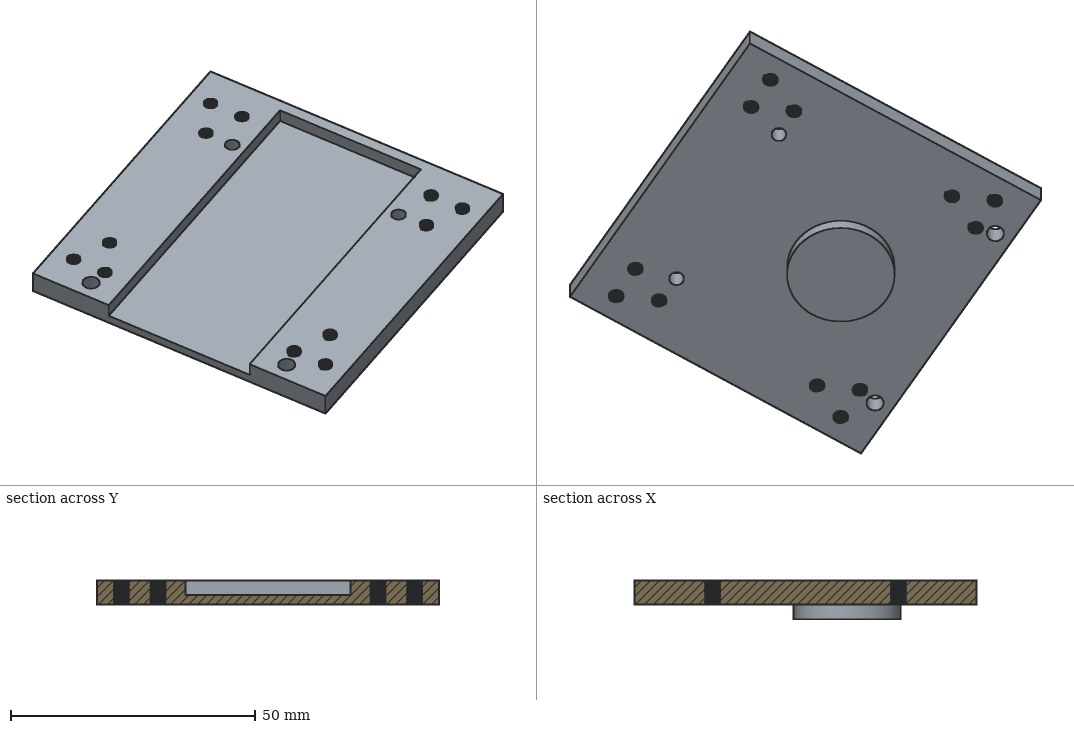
import cadquery as cq

plate_side = 70.0
plate_thickness = 5.0

boss_diameter = 22.0
boss_height = 3.0
boss_y = -8.5

pocket_width = 33.7
pocket_depth = 3.0
pocket_end_wall = 2.5

thread_minor_diameter = 2.53
thread_major_diameter = 3.09
thread_pitch = 0.5
group_x = 26.25
outer_pair_y = 27.0
outer_pair_spacing = 7.5
inner_hole_y = 19.0

rear_hole_diameter = 3.0
rear_hole_x = 19.9
rear_hole_y = 18.7
front_hole_diameter = 3.5
front_hole_x = 23.4
front_hole_y = -31.2

overrun = 1.0
groove_overlap = 0.065


def make_plate():
    plate = cq.Workplane("XY").rect(plate_side, plate_side).extrude(plate_thickness)
    boss = cq.Workplane("XY").center(0, boss_y).circle(boss_diameter / 2).extrude(-boss_height)
    return plate.union(boss)


def make_pocket():
    front_y = -plate_side / 2 - overrun
    back_y = plate_side / 2 - pocket_end_wall
    return (
        cq.Workplane("XY")
        .workplane(offset=plate_thickness - pocket_depth)
        .center(0, (front_y + back_y) / 2)
        .rect(pocket_width, back_y - front_y)
        .extrude(pocket_depth + overrun)
    )


def make_hole_pair(diameter, x, y):
    return (
        cq.Workplane("XY")
        .workplane(offset=-overrun)
        .pushPoints([(-x, y), (x, y)])
        .circle(diameter / 2)
        .extrude(plate_thickness + 2 * overrun)
    )


def make_thread_groove():
    """Solid that fills one helical groove, running past both faces of the plate.

    The groove crosses the top and bottom faces of the plate on its -Y side.
    """
    minor_radius = thread_minor_diameter / 2
    major_radius = thread_major_diameter / 2
    inner_radius = minor_radius - groove_overlap
    root_half_width = thread_pitch / 8 / 2
    mouth_half_width = (thread_pitch - thread_pitch / 4) / 2
    flank_slope = (mouth_half_width - root_half_width) / (major_radius - minor_radius)
    inner_half_width = mouth_half_width + flank_slope * groove_overlap
    profile = [
        (inner_radius, -inner_half_width),
        (major_radius, -root_half_width),
        (major_radius, root_half_width),
        (inner_radius, inner_half_width),
    ]

    height = plate_thickness + 2 * thread_pitch
    bottom = -thread_pitch
    helices = []
    for radius, z in profile:
        helix = cq.Wire.makeHelix(thread_pitch, height, radius)
        helices.append(helix.translate(cq.Vector(0, 0, bottom + z)))

    faces = []
    for index, helix in enumerate(helices):
        strip = cq.Face.makeRuledSurface(helix, helices[(index + 1) % len(helices)])
        faces.extend(strip.Faces())
    for end_z in (bottom, bottom + height):
        corners = [cq.Vector(radius, 0, end_z + z) for radius, z in profile]
        outline = cq.Wire.makePolygon(corners, close=True)
        faces.append(cq.Face.makeFromWires(outline))

    groove = cq.Solid.makeSolid(cq.Shell.makeShell(faces))
    return cq.Workplane(obj=groove).rotate((0, 0, 0), (0, 0, 1), -90)


def make_thread_tool():
    """Solid that fills one threaded hole over the thickness of the plate."""
    block = (
        cq.Workplane("XY")
        .rect(2 * thread_major_diameter, 2 * thread_major_diameter)
        .extrude(plate_thickness)
    )
    hole = (
        cq.Workplane("XY")
        .workplane(offset=-overrun)
        .circle(thread_minor_diameter / 2)
        .extrude(plate_thickness + 2 * overrun)
    )
    threaded_block = block.cut(make_thread_groove()).cut(hole)
    return block.cut(threaded_block)


def cut_threads(body):
    """Thread the -X holes, then the same pattern turned half a turn about Z."""
    tool = make_thread_tool()
    half_spacing = outer_pair_spacing / 2
    places = []
    for side in (-1, 1):
        places.append((-group_x - half_spacing, side * outer_pair_y))
        places.append((-group_x + half_spacing, side * outer_pair_y))
        places.append((-group_x, side * inner_hole_y))
    for x, y in places:
        placed = tool.translate((x, y, 0))
        body = body.cut(placed)
        body = body.cut(placed.rotate((0, 0, 0), (0, 0, 1), 180))
    return body


part = make_plate().cut(make_pocket())
part = part.cut(make_hole_pair(rear_hole_diameter, rear_hole_x, rear_hole_y))
part = part.cut(make_hole_pair(front_hole_diameter, front_hole_x, front_hole_y))
result = cut_threads(part)